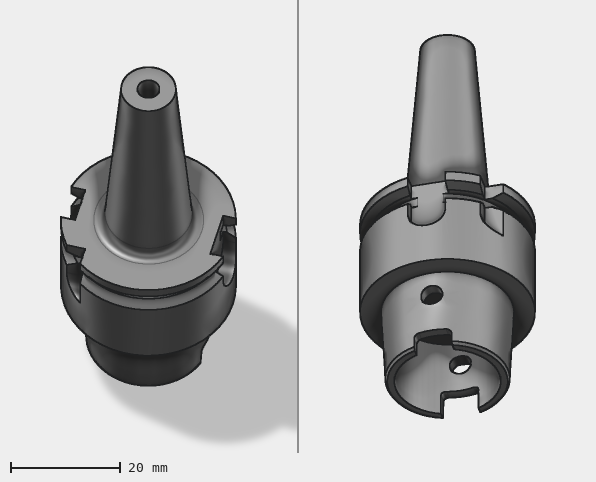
import cadquery as cq
import math

total_height = 76.0
shank_height = 15.95
flange_top = 36.0

flange_diameter = 32.0
flange_radius = flange_diameter / 2
lower_bevel_bottom = 29.95
groove_bottom = 31.15
groove_top = 33.1
upper_bevel_top = 34.05
groove_radius = 13.15
groove_rim_radius = 14.4

shank_top_radius = 12.15
shank_taper = 0.05
shank_chamfer_height = 0.6
shank_chamfer_width = 0.4
cavity_radius = 9.7
cavity_depth = shank_height
cross_hole_diameter = 4.0
cross_hole_height = 11.1

nose_tip_radius = 5.0
nose_base_radius = 8.0
nose_fillet_radius = 2.05
bore_diameter = 4.0
bore_depth = 22.8

narrow_slot_width = 7.1
wide_slot_width = 9.0
slot_floor = 12.9
slot_bottom = 24.1
corner_notch_edge = 9.4
left_keyway_height = 3.3
right_keyway_height = 5.2
keyway_corner_radius = 1.0

cut_length = flange_diameter


def make_body():
    """Revolve the shank, flange and nose as one profile."""
    shank_edge_radius = shank_top_radius - shank_taper * (shank_height - shank_chamfer_height)
    fillet_reach = nose_fillet_radius * math.sqrt(0.5)
    fillet_end_radius = nose_base_radius + nose_fillet_radius
    fillet_end_height = flange_top + nose_fillet_radius
    fillet_middle = (fillet_end_radius - fillet_reach, fillet_end_height - fillet_reach)
    return (
        cq.Workplane("XZ")
        .moveTo(0, 0)
        .lineTo(shank_edge_radius - shank_chamfer_width, 0)
        .lineTo(shank_edge_radius, shank_chamfer_height)
        .lineTo(shank_top_radius, shank_height)
        .lineTo(flange_radius, shank_height)
        .lineTo(flange_radius, lower_bevel_bottom)
        .lineTo(groove_rim_radius, groove_bottom)
        .lineTo(groove_radius, groove_bottom)
        .lineTo(groove_radius, groove_top)
        .lineTo(groove_rim_radius, groove_top)
        .lineTo(flange_radius, upper_bevel_top)
        .lineTo(flange_radius, flange_top)
        .lineTo(fillet_end_radius, flange_top)
        .threePointArc(fillet_middle, (nose_base_radius, fillet_end_height))
        .lineTo(nose_tip_radius, total_height)
        .lineTo(0, total_height)
        .close()
        .revolve(360, (0, 0, 0), (0, 1, 0))
    )


def round_slot(width, side, floor, y_center=0.0):
    """Slot open at the flange top with a round bottom, cut outward along X from its floor."""
    arc_center = slot_bottom + width / 2
    return (
        cq.Workplane("YZ", origin=(side * floor, y_center, 0))
        .moveTo(-width / 2, flange_top)
        .lineTo(-width / 2, arc_center)
        .threePointArc((0, slot_bottom), (width / 2, arc_center))
        .lineTo(width / 2, flange_top)
        .close()
        .extrude(side * cut_length)
    )


def shank_keyway(side, height):
    """Notch through one wall of the shank with rounded upper corners."""
    return (
        cq.Workplane("YZ")
        .center(0, height / 2)
        .rect(narrow_slot_width, height)
        .extrude(side * cut_length)
        .edges("|X and >Z")
        .fillet(keyway_corner_radius)
    )


body = make_body()

cavity = cq.Workplane("XY").circle(cavity_radius).extrude(cavity_depth)
cross_hole = (
    cq.Workplane("YZ")
    .center(0, cross_hole_height)
    .circle(cross_hole_diameter / 2)
    .extrude(cut_length, both=True)
)
bore = (
    cq.Workplane("XY", origin=(0, 0, total_height - bore_depth))
    .circle(bore_diameter / 2)
    .extrude(bore_depth)
)
body = body.cut(cavity).cut(cross_hole).cut(bore)

notch_center = -(corner_notch_edge + narrow_slot_width / 2)
body = body.cut(round_slot(narrow_slot_width, -1, slot_floor))
body = body.cut(round_slot(wide_slot_width, 1, slot_floor))
body = body.cut(round_slot(narrow_slot_width, -1, corner_notch_edge, notch_center))

body = body.cut(shank_keyway(-1, left_keyway_height))
body = body.cut(shank_keyway(1, right_keyway_height))

result = body